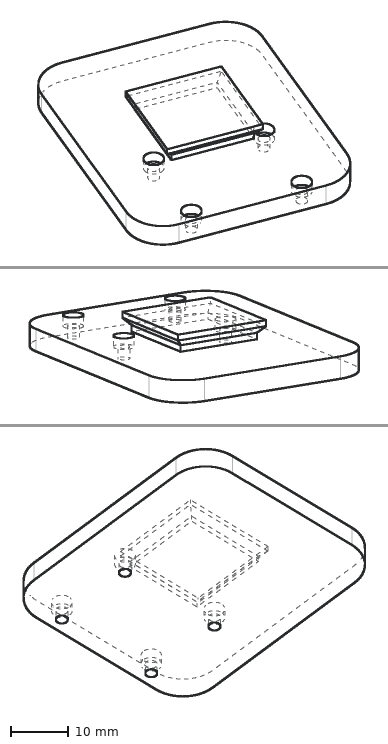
import cadquery as cq

plate_length = 51.0
plate_width = 42.0
plate_thickness = 4.1
corner_radius = 7.0

total_height = 7.6
cap_side = 18.2
neck_length = 16.0
neck_width = 15.7
neck_height = 1.15
flare_height = 1.3
rim_height = total_height - plate_thickness - neck_height - flare_height

hole_diameter = 2.1
counterbore_diameter = 3.6
counterbore_depth = 2.0
hole_centre_x = 14.65
hole_spacing_x = 16.45
hole_spacing_y = 21.0


def make_plate():
    """Flat plate with rounded vertical corners."""
    plate = cq.Workplane("XY").box(plate_length, plate_width, plate_thickness, centered=(True, True, False))
    return plate.edges("|Z").fillet(corner_radius)


def make_cap():
    """Neck, outward flare and straight square rim, stacked on the plate."""
    neck = cq.Workplane("XY", origin=(0, 0, plate_thickness)).rect(neck_length, neck_width).extrude(neck_height)
    flare = (
        neck.faces(">Z").workplane()
        .rect(neck_length, neck_width)
        .workplane(offset=flare_height)
        .rect(cap_side, cap_side)
        .loft(ruled=True)
    )
    return flare.faces(">Z").workplane().rect(cap_side, cap_side).extrude(rim_height)


def drill_screw_holes(plate):
    """Cut the counterbored holes through the plate from its top face."""
    return (
        plate.faces(">Z").workplane(origin=(0, 0, plate_thickness))
        .center(hole_centre_x, 0)
        .rarray(hole_spacing_x, hole_spacing_y, 2, 2)
        .cboreHole(hole_diameter, counterbore_diameter, counterbore_depth)
    )


result = drill_screw_holes(make_plate()).union(make_cap())